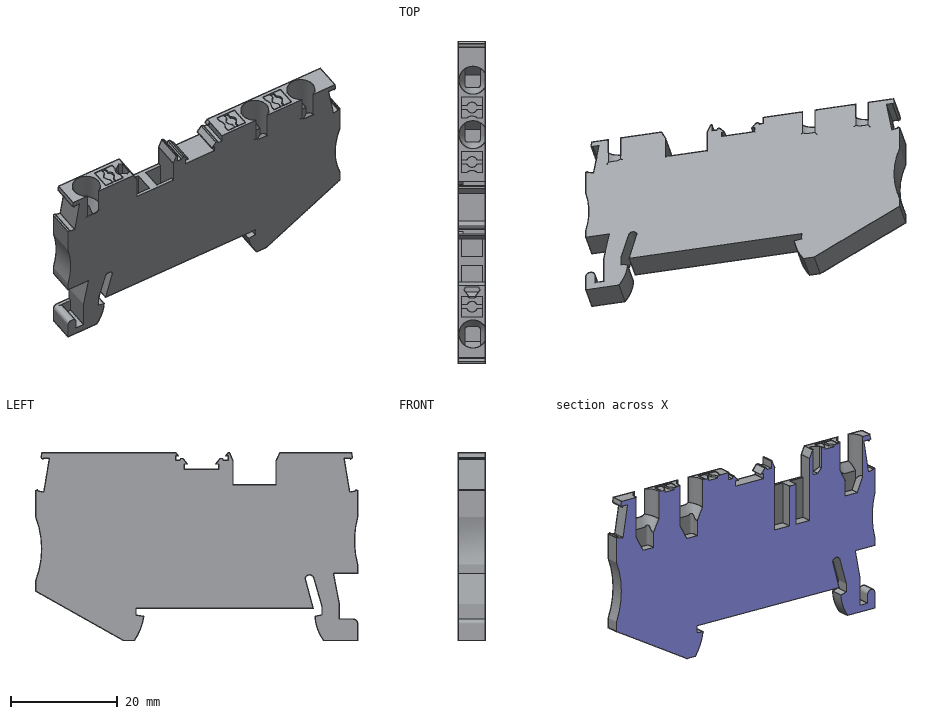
import cadquery as cq
import math


WIDTH = 5.15
LENGTH = 60.4
HEIGHT = 35.25

LIP_TOP = (1.15, 0)
LIP_BOTTOM = (1.0, 0.95)
LIP_HOOK = (1.4, 1.3)
GROOVE_TOP = (2.55, 1.1)
GROOVE_BOTTOM = (1.5, 7.4)
RIDGE_FOOT = (0.43, 7.18)
RIDGE_TIP = (0.36, 6.95)
END_FACE_TOP = 7.1

HOLLOW_TOP = 12.1
REAR_HOLLOW_BOTTOM = 24.0
REAR_HOLLOW_SAG = 1.1
FRONT_HOLLOW_BOTTOM = 21.0
FRONT_HOLLOW_SAG = 0.6

REAR_FACE_BOTTOM = 26.0
RAIL_SEAT_DEPTH = 29.2
FIXED_HOOK_ROOT = (18.85, 30.45)
FIXED_HOOK_TIP = (20.3, 30.7)
FIXED_HOOK_BELLY = (19.7, 33.0)
FIXED_HOOK_HEEL = 18.5
SLOPE_END = 16.45
SLOT_MOUTH = 52.05
SLOT_REAR_TOP = (50.55, 23.6)
SLOT_CROWN = (51.3, 22.95)
SLOT_FRONT_TOP = (52.15, 23.6)
SLOT_FRONT_BOTTOM = (53.65, 28.8)
SPRING_HOOK_ROOT = (53.65, 30.4)
SPRING_HOOK_TIP = (52.35, 30.7)
SPRING_HOOK_BELLY = (52.8, 33.0)
SPRING_HOOK_HEEL = 54.0
TAB_TOP = 31.2
TAB_ROUND = 0.9
TAB_BEND = TAB_ROUND * (1 - math.sqrt(0.5))
TAB_POCKET_WALL = 0.65
TAB_POCKET_DEPTH = 2.6
SPRING_OUTER = 56.95
SPRING_OUTER_BEND = 28.4
SPRING_SHOULDER = (55.85, 22.65)

REAR_WALL = 26.27
FRONT_WALL = 36.1
SNAP_REACH = 0.5
SNAP_DEPTH = 0.6
SNAP_WIDTH = 0.9
STEP_DEPTH = 1.43
RAMP_TOP = 1.07
RAMP_FOOT = 2.18
MARKER_FLOOR = 3.1
MARKER_REAR = 27.9
MARKER_FRONT = 34.28
RAMP_OVERHANG = 0.6
REAR_RIB = 27.4
FRONT_RIB = 34.8
RIB_HALF_TOP = 0.18
RIB_HALF_FOOT = 0.42
FRONT_WALL_CREST = (36.35, 0)
JUMPER_REAR = 37.03
JUMPER_FRONT = 45.05
JUMPER_FLOOR = 6.02
JUMPER_BEVEL_DEPTH = 1.56
JUMPER_BEVEL_CREST = (45.77, 0)

BUTTON_X = 2.63
BUTTON_SIDE = 3.86
BUTTON_RECESS = 0.1
SCREW_SLOT_DEPTH = 0.5
SCREW_SLOT_WIDTH = 0.75
SCREW_CIRCLE_RADIUS = 1.0
TEST_CIRCLE_RADIUS = 1.55
TEST_CIRCLE_OFFSET = 3.15
BUTTON_TO_FUNNEL = 5.12
REAR_BUTTON = 12.38
CLAMP_PITCH = 10.21
FRONT_BUTTON = 49.72

BORE_X = 2.81
BORE_RADIUS = 2.62
BORE_DEPTH = 5.0
FUNNEL_DEPTH = 8.0
FUNNEL_END_RADIUS = 1.1
FUNNEL_END_OFFSET = 0.27
SHAFT_X = 2.73
SHAFT_DEPTH = 11.0
SHAFT_WIDTH = 2.92
SHAFT_CORNER = 0.5
SHAFT_FRONT = 1.37
REAR_SHAFT_BACK = 1.0
FRONT_SHAFT_BACK = 1.37

CLAMPS = [
    (REAR_BUTTON, 1, REAR_SHAFT_BACK),
    (REAR_BUTTON + CLAMP_PITCH, 1, REAR_SHAFT_BACK),
    (FRONT_BUTTON, -1, FRONT_SHAFT_BACK),
]

POCKET_REAR_HALF = 1.2
POCKET_MIDDLE_HALF = 1.5
POCKET_FRONT_HALF = 0.55
POCKET_REAR = 46.0
POCKET_MIDDLE = 46.6
POCKET_RAMP = 46.95
POCKET_FRONT = 47.85
POCKET_DEPTH = 5.0
POCKET_RAMP_TOP = 4.1

SOCKET_DEPTH = 8.0
REAR_SOCKET_END = 40.33
FRONT_SOCKET_START = 41.97
SOCKET_STATIONS = [(JUMPER_REAR, REAR_SOCKET_END), (FRONT_SOCKET_START, JUMPER_FRONT)]


def at(station, depth):
    """Side-plane point (y, z) for a station and a depth."""
    return (LENGTH / 2 - station, HEIGHT - depth)


def end_groove():
    """Marking groove points (inset, depth) from the top face down to the end face."""
    lip = [LIP_TOP, LIP_BOTTOM, LIP_HOOK, (LIP_HOOK[0], GROOVE_TOP[1])]
    return lip + [GROOVE_TOP, GROOVE_BOTTOM, RIDGE_FOOT, RIDGE_TIP, (0, END_FACE_TOP)]


def top_channels():
    """Top edge points (station, depth) from the rear plateau to the front one."""
    rear = [
        (REAR_WALL, 0),
        (REAR_WALL, STEP_DEPTH),
        (REAR_RIB - RIB_HALF_FOOT, STEP_DEPTH),
        (REAR_RIB - RIB_HALF_TOP, RAMP_TOP),
        (REAR_RIB + RIB_HALF_TOP, RAMP_TOP),
        (MARKER_REAR + RAMP_OVERHANG, RAMP_FOOT),
        (MARKER_REAR, RAMP_FOOT),
        (MARKER_REAR, MARKER_FLOOR),
    ]
    front = [
        (MARKER_FRONT, MARKER_FLOOR),
        (MARKER_FRONT, RAMP_FOOT),
        (MARKER_FRONT - RAMP_OVERHANG, RAMP_FOOT),
        (FRONT_RIB - RIB_HALF_TOP, RAMP_TOP),
        (FRONT_RIB + RIB_HALF_TOP, RAMP_TOP),
        (FRONT_RIB + RIB_HALF_FOOT, STEP_DEPTH),
        (FRONT_WALL, STEP_DEPTH),
        (FRONT_WALL, 0),
    ]
    jumper = [
        FRONT_WALL_CREST,
        (JUMPER_REAR, JUMPER_BEVEL_DEPTH),
        (JUMPER_REAR, JUMPER_FLOOR),
        (JUMPER_FRONT, JUMPER_FLOOR),
        (JUMPER_FRONT, JUMPER_BEVEL_DEPTH),
        JUMPER_BEVEL_CREST,
    ]
    return rear + front + jumper


def polyline(path, points):
    """Extend a side-plane path through (station, depth) points."""
    for station, depth in points:
        path = path.lineTo(*at(station, depth))
    return path


def make_body():
    """Side outline of the block, extruded over its full width."""
    groove = end_groove()
    front_groove = [(LENGTH - inset, depth) for inset, depth in groove]
    rear_middle = (HOLLOW_TOP + REAR_HOLLOW_BOTTOM) / 2
    front_middle = (HOLLOW_TOP + FRONT_HOLLOW_BOTTOM) / 2

    path = cq.Workplane("YZ").moveTo(*at(*groove[-1]))
    path = polyline(path, groove[-2::-1] + top_channels() + front_groove)
    path = path.lineTo(*at(LENGTH, HOLLOW_TOP))
    path = path.threePointArc(at(LENGTH - FRONT_HOLLOW_SAG, front_middle), at(LENGTH, FRONT_HOLLOW_BOTTOM))
    path = polyline(path, [
        (LENGTH, SPRING_SHOULDER[1]),
        SPRING_SHOULDER,
        (SPRING_OUTER, SPRING_OUTER_BEND),
        (SPRING_OUTER, TAB_TOP),
        (LENGTH - TAB_ROUND, TAB_TOP),
    ])
    path = path.threePointArc(at(LENGTH - TAB_BEND, TAB_TOP + TAB_BEND), at(LENGTH, TAB_TOP + TAB_ROUND))
    path = polyline(path, [(LENGTH, HEIGHT), (SPRING_HOOK_HEEL, HEIGHT)])
    path = path.threePointArc(at(*SPRING_HOOK_BELLY), at(*SPRING_HOOK_TIP))
    path = polyline(path, [SPRING_HOOK_ROOT, SLOT_FRONT_BOTTOM, SLOT_FRONT_TOP])
    path = path.threePointArc(at(*SLOT_CROWN), at(*SLOT_REAR_TOP))
    path = polyline(path, [
        (SLOT_MOUTH, RAIL_SEAT_DEPTH),
        (FIXED_HOOK_ROOT[0], RAIL_SEAT_DEPTH),
        FIXED_HOOK_ROOT,
        FIXED_HOOK_TIP,
    ])
    path = path.threePointArc(at(*FIXED_HOOK_BELLY), at(FIXED_HOOK_HEEL, HEIGHT))
    path = polyline(path, [(SLOPE_END, HEIGHT), (0, REAR_FACE_BOTTOM), (0, REAR_HOLLOW_BOTTOM)])
    path = path.threePointArc(at(REAR_HOLLOW_SAG, rear_middle), at(0, HOLLOW_TOP))
    return path.close().extrude(WIDTH)


def snap_hook(wall, direction):
    """Small hook on the -X side of a marker channel wall, pointing along the station."""
    tip = wall + direction * SNAP_REACH
    points = [at(wall, 0), at(tip, SNAP_DEPTH), at(wall - direction * SNAP_REACH / 2, SNAP_DEPTH)]
    points.append(at(wall - direction * SNAP_REACH / 2, 0))
    return cq.Workplane("YZ").polyline(points).close().extrude(SNAP_WIDTH)


def plan(depth, x, station):
    """Horizontal workplane at a depth, with its origin at x and station."""
    y, z = at(station, depth)
    return cq.Workplane("XY", origin=(x, y, z))


def wire_funnel(station, direction, shaft_back):
    """Round bore, tapered lead-in and shaft with a sloped back wall."""
    bore = plan(BORE_DEPTH, BORE_X, station).circle(BORE_RADIUS).extrude(BORE_DEPTH)
    column = plan(SHAFT_DEPTH, BORE_X, station).circle(BORE_RADIUS).extrude(SHAFT_DEPTH)

    rise = FUNNEL_DEPTH - BORE_DEPTH
    taper = math.degrees(math.atan((BORE_RADIUS - FUNNEL_END_RADIUS) / rise))
    tail = direction * 2 * BORE_RADIUS
    lead_in = (
        plan(FUNNEL_DEPTH, SHAFT_X, station + direction * FUNNEL_END_OFFSET)
        .moveTo(-FUNNEL_END_RADIUS, tail)
        .lineTo(-FUNNEL_END_RADIUS, 0)
        .threePointArc((0, -direction * FUNNEL_END_RADIUS), (FUNNEL_END_RADIUS, 0))
        .lineTo(FUNNEL_END_RADIUS, tail)
        .close()
        .extrude(rise, taper=-taper)
    )

    front = station + direction * SHAFT_FRONT
    shaft_points = [
        at(front, BORE_DEPTH),
        at(front, SHAFT_DEPTH),
        at(station - direction * shaft_back, SHAFT_DEPTH),
        at(station - direction * BORE_RADIUS, FUNNEL_DEPTH),
        at(station - direction * BORE_RADIUS, BORE_DEPTH),
    ]
    front_side = "<Y" if direction > 0 else ">Y"
    shaft = (
        cq.Workplane("YZ", origin=(SHAFT_X - SHAFT_WIDTH / 2, 0, 0))
        .polyline(shaft_points)
        .close()
        .extrude(SHAFT_WIDTH)
        .faces(front_side)
        .edges("|Z")
        .fillet(SHAFT_CORNER)
    )
    return bore.union(lead_in.union(shaft).intersect(column))


def release_button(station, direction):
    """Shallow square recess with a screwdriver slot and round centre."""
    test_station = station + direction * TEST_CIRCLE_OFFSET
    test_centre = plan(BUTTON_RECESS, BUTTON_X, test_station)
    test_circle = test_centre.circle(TEST_CIRCLE_RADIUS).extrude(BUTTON_RECESS)
    square = plan(BUTTON_RECESS, BUTTON_X, station).rect(BUTTON_SIDE, BUTTON_SIDE).extrude(BUTTON_RECESS)
    floor = plan(SCREW_SLOT_DEPTH, BUTTON_X, station)
    slot = floor.rect(BUTTON_SIDE, SCREW_SLOT_WIDTH).extrude(SCREW_SLOT_DEPTH)
    centre = floor.circle(SCREW_CIRCLE_RADIUS).extrude(SCREW_SLOT_DEPTH)
    return square.cut(test_circle).union(slot).union(centre)


def test_pocket():
    """Six-sided pocket whose floor ramps up toward the front button."""
    half_outline = [
        (POCKET_REAR_HALF, POCKET_REAR),
        (POCKET_MIDDLE_HALF, POCKET_MIDDLE),
        (POCKET_FRONT_HALF, POCKET_FRONT),
    ]
    right = [(half, -station) for half, station in half_outline]
    left = [(-x, y) for x, y in reversed(right)]
    prism = plan(POCKET_DEPTH, BUTTON_X, 0).polyline(right + left).close().extrude(POCKET_DEPTH)
    ramp_points = [
        at(POCKET_RAMP, POCKET_DEPTH),
        at(POCKET_FRONT, POCKET_RAMP_TOP),
        at(POCKET_FRONT, POCKET_DEPTH),
    ]
    ramp = cq.Workplane("YZ").polyline(ramp_points).close().extrude(WIDTH)
    return prism.cut(ramp)


def tab_pocket():
    """Pocket in the foot tab, open on the +X side, that leaves a full-round ridge at the tab's end."""
    crest = LENGTH - TAB_ROUND
    ridge_side = crest - TAB_ROUND
    floor = TAB_TOP + TAB_POCKET_DEPTH
    return (
        cq.Workplane("YZ", origin=(TAB_POCKET_WALL, 0, 0))
        .moveTo(*at(crest, TAB_TOP))
        .threePointArc(at(ridge_side + TAB_BEND, TAB_TOP + TAB_BEND), at(ridge_side, TAB_TOP + TAB_ROUND))
        .lineTo(*at(ridge_side, floor))
        .lineTo(*at(SPRING_OUTER, floor))
        .lineTo(*at(SPRING_OUTER, TAB_TOP))
        .close()
        .extrude(WIDTH - TAB_POCKET_WALL)
    )


def jumper_socket(start, end):
    """Rectangular socket sunk into the jumper channel floor."""
    floor = plan(JUMPER_FLOOR + SOCKET_DEPTH, BUTTON_X, (start + end) / 2)
    return floor.rect(BUTTON_SIDE, end - start).extrude(SOCKET_DEPTH)


result = make_body()
result = result.union(snap_hook(REAR_WALL, 1)).union(snap_hook(FRONT_WALL, -1))
for button_station, button_direction, back in CLAMPS:
    funnel_station = button_station - button_direction * BUTTON_TO_FUNNEL
    result = result.cut(wire_funnel(funnel_station, button_direction, back))
    result = result.cut(release_button(button_station, button_direction))
for socket_start, socket_end in SOCKET_STATIONS:
    result = result.cut(jumper_socket(socket_start, socket_end))
result = result.cut(test_pocket()).cut(tab_pocket())